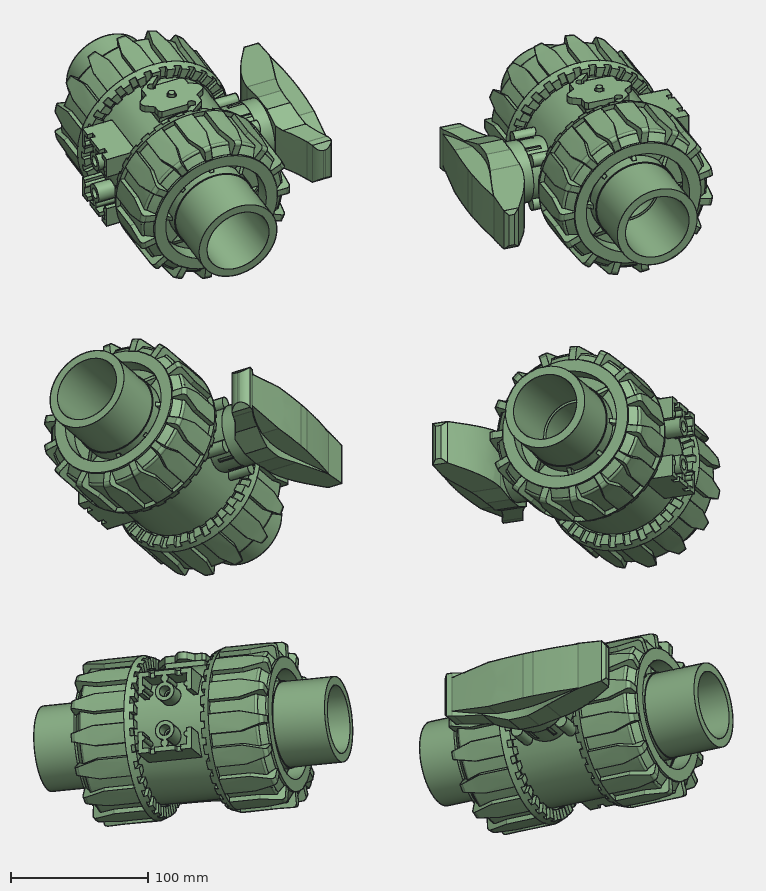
import cadquery as cq
import math


length = 224.5
pipe_dia = 63.0
pipe_bore = 50.0
collar_dia = 64.5
collar_end = 72.3
flange_dia = 90.0
gusset_count = 8
gusset_dia = 80.9
gusset_width = 3.1
gusset_length = 6.7

nut_dia = 121.5
nut_inner_end = 25.8
nut_outer_end = 75.0
nut_opening_dia = 81.3
nut_ring_dia = 99.3
barrel_radius = 57.0
barrel_round = 1.8
barrel_round_start = 67.2
barrel_ring_start = 73.2
band_end = 32.5
band_edge_radius = 58.5
grip_count = 15
grip_width = 14.8
grip_tip_width = 5.5
grip_taper_start = 56.4
grip_end = 74.3
grip_round = 3.0
grip_root_radius = 45.0
grip_embed = 1.1
tooth_count = 30
tooth_gap_width = 5.5
tooth_depth = 3.0

body_dia = 98.4
thread_dia = 101.3
body_bore = 46.5
body_end = 56.2
flange_end = 61.8
actuator_x = -0.5
core_depth = 33.7

seat_length = 30.5
seat_width = 34.1
seat_z = 50.0
plate_thickness = 5.5
plate_corner = 2.2
plate_hole_dia = 7.0
stud_dia = 5.0
stud_top = 57.7
lobe_base = 7.6
lobe_shoulder = (3.5, 23.1)
lobe_tip = 25.0
arm_tip = 25.2
arm_tip_outer_y = 4.3
arm_tip_inner_y = -1.1
relief_dia = 5.8
relief_y = 9.0

bracket_face_y = -62.2
bracket_width = 41.0
bracket_top = 30.8
bracket_arm_end = 14.5
bracket_wall = 3.5
boss_z = 14.8
boss_dia = 14.4
boss_hole_dia = 8.0
boss_hole_depth = 11.2
pilot_dia = 5.0
pilot_depth = 15.7
web_width = 3.1
web_bead_dia = 5.6
web_bead_z = 24.7
arm_bead_dia = 4.0
arm_bead_z = 19.0
notch_width = 4.3
notch_pitch = 20.2

neck_dia = 46.5
neck_end = 61.0
post_dia = 9.7
post_offset_x = 17.7
post_offset_z = 18.2
neck_groove_width = 3.1
neck_groove_depth = 1.8
neck_groove_x = 7.6

handle_base_y = 72.5
handle_crest_y = 108.0
handle_half_depth = 24.3
handle_neck_overlap = 2.2
crown_start = (-55.0, 105.3)
crown_end = (49.5, 102.9)
crown_half_depth = 17.7
crown_taper_start = 18.0
crown_tip_half_depth = 13.5


def x_cylinder(diameter, start, end):
    return cq.Workplane("YZ").workplane(offset=start).circle(diameter / 2).extrude(end - start)


def y_cylinder(diameter, start, end, x, z):
    """Cylinder along +Y from start to end."""
    plane = cq.Plane(origin=(x, start, z), xDir=(1, 0, 0), normal=(0, 1, 0))
    return cq.Workplane(plane).circle(diameter / 2).extrude(end - start)


def around_x(shape, count):
    """Equally spaced copies of a shape about the pipe axis, the first one moved onto +Y."""
    return [
        shape.rotate((0, 0, 0), (1, 0, 0), -90 + i * 360 / count)
        for i in range(count)
    ]


def mirror_pair(shape):
    """The +X member and its mirror image at -X."""
    return [shape, shape.mirror("YZ")]


def make_end_connector():
    connector = (
        x_cylinder(pipe_dia, body_end, length / 2)
        .union(x_cylinder(collar_dia, body_end, collar_end))
        .union(x_cylinder(flange_dia, body_end, flange_end))
    )
    gusset = (
        cq.Workplane("XZ")
        .workplane(offset=-gusset_width / 2)
        .moveTo(flange_end, pipe_dia / 2)
        .lineTo(flange_end, gusset_dia / 2)
        .lineTo(flange_end + gusset_length, collar_dia / 2)
        .lineTo(flange_end + gusset_length, pipe_dia / 2)
        .close()
        .extrude(gusset_width)
    )
    for copy in around_x(gusset, gusset_count):
        connector = connector.union(copy)
    return connector.cut(x_cylinder(pipe_bore, body_end, length / 2))


def make_nut_shell():
    """Revolved nut: tapered toothed band, barrel with a rounded shoulder, and end ring."""
    round_mid = barrel_round * math.sqrt(0.5)
    return (
        cq.Workplane("XY")
        .moveTo(nut_inner_end, thread_dia / 2)
        .lineTo(nut_inner_end, band_edge_radius)
        .lineTo(band_end, nut_dia / 2)
        .lineTo(band_end, barrel_radius)
        .lineTo(barrel_round_start, barrel_radius)
        .threePointArc(
            (barrel_round_start + round_mid, barrel_radius - barrel_round + round_mid),
            (barrel_round_start + barrel_round, barrel_radius - barrel_round),
        )
        .lineTo(barrel_ring_start, nut_ring_dia / 2)
        .lineTo(nut_outer_end, nut_ring_dia / 2)
        .lineTo(nut_outer_end, nut_opening_dia / 2)
        .lineTo(flange_end, nut_opening_dia / 2)
        .lineTo(flange_end, flange_dia / 2)
        .lineTo(body_end, flange_dia / 2)
        .lineTo(body_end, thread_dia / 2)
        .close()
        .revolve(360, (0, 0, 0), (1, 0, 0))
    )


def make_grip():
    """One grip rib at +Z: parallel sides, then tapering to a narrow rounded tip."""
    outline = (
        cq.Workplane("XY")
        .workplane(offset=grip_root_radius)
        .moveTo(band_end, -grip_width / 2)
        .lineTo(grip_taper_start, -grip_width / 2)
        .lineTo(grip_end, -grip_tip_width / 2)
        .lineTo(grip_end, grip_tip_width / 2)
        .lineTo(grip_taper_start, grip_width / 2)
        .lineTo(band_end, grip_width / 2)
        .close()
        .extrude(nut_dia / 2 - grip_root_radius)
    )
    envelope = x_cylinder(nut_dia, band_end, grip_end).faces(">X").edges().fillet(grip_round)
    core = x_cylinder(nut_ring_dia - 2 * grip_embed, flange_end, grip_end).union(
        x_cylinder(thread_dia + 2 * grip_embed, band_end, flange_end)
    )
    return outline.intersect(envelope).cut(core)


def make_nut():
    nut = make_nut_shell()
    for grip in around_x(make_grip(), grip_count):
        nut = nut.union(grip)
    tooth_gap = cq.Workplane("XY").box(
        tooth_depth, tooth_gap_width, nut_dia / 2, centered=(False, True, False)
    ).translate((nut_inner_end, 0, 0))
    for gap in around_x(tooth_gap, tooth_count):
        nut = nut.cut(gap)
    return nut


def make_bracket_half():
    """Upper half of the mounting bracket: a channel with a screw boss on a web."""
    depth = -core_depth - bracket_face_y

    def bar(width, bottom, top, x=0.0):
        return cq.Workplane("XY").box(width, depth, top - bottom, centered=(True, False, False)).translate(
            (x, bracket_face_y, bottom)
        )

    def rod(diameter, x, z):
        return y_cylinder(diameter, bracket_face_y, -core_depth, x, z)

    half = bar(bracket_width, bracket_top - bracket_wall, bracket_top)
    half = half.union(bar(web_width, boss_z, bracket_top))
    half = half.union(rod(web_bead_dia, 0, web_bead_z))
    half = half.union(rod(boss_dia, 0, boss_z))
    wall_x = (bracket_width - bracket_wall) / 2
    for side in (-1, 1):
        half = half.union(bar(bracket_wall, bracket_arm_end, bracket_top, side * wall_x))
        bead_x = side * (bracket_width / 2 - bracket_wall)
        half = half.union(rod(arm_bead_dia, bead_x, arm_bead_z))
        notch = cq.Workplane("XY").box(notch_width, 2 * notch_width, 3 * bracket_wall)
        half = half.cut(notch.translate((side * notch_pitch / 2, bracket_face_y, bracket_top)))
    return half


def cut_boss_holes(body, z):
    for diameter, depth in ((boss_hole_dia, boss_hole_depth), (pilot_dia, pilot_depth)):
        hole = y_cylinder(diameter, bracket_face_y, bracket_face_y + depth, actuator_x, z)
        body = body.cut(hole)
    return body


def make_neck():
    neck = y_cylinder(neck_dia, core_depth, neck_end, 0, 0)
    for x in (-neck_groove_x, neck_groove_x):
        for z in (-neck_dia / 2, neck_dia / 2):
            groove = cq.Workplane("XY").box(neck_groove_width, neck_end, 2 * neck_groove_depth)
            neck = neck.cut(groove.translate((x, body_dia / 2 + neck_end / 2, z)))
    for x in (-post_offset_x, post_offset_x):
        for z in (-post_offset_z, post_offset_z):
            neck = neck.union(y_cylinder(post_dia, core_depth, neck_end, x, z))
    return neck


def make_body():
    thread_start = nut_inner_end + tooth_depth
    body = x_cylinder(body_dia, -body_end, body_end)
    for thread in mirror_pair(x_cylinder(thread_dia, thread_start, body_end)):
        body = body.union(thread)
    seat = cq.Workplane("XY").rect(seat_length, seat_width).extrude(seat_z - core_depth)
    stud = cq.Workplane("XY").circle(stud_dia / 2).extrude(stud_top - core_depth)
    body = body.union(seat.union(stud).translate((actuator_x, 0, core_depth)))
    bracket = make_bracket_half().translate((actuator_x, 0, 0))
    body = body.union(bracket).union(bracket.mirror("XY"))
    for z in (-boss_z, boss_z):
        body = cut_boss_holes(body, z)
    body = body.union(make_neck().translate((actuator_x, 0, 0)))
    return body.cut(x_cylinder(body_bore, -body_end, body_end))


def make_plate():
    """Locking plate: two lobes and two springy arms, the same after half a turn."""
    edge_x = seat_length / 2
    edge_y = seat_width / 2
    shoulder_x, shoulder_y = lobe_shoulder
    outline = cq.Workplane("XY").moveTo(-edge_x, -relief_y)
    for turn in (1, -1):
        outline = (
            outline.lineTo(-turn * edge_x, turn * (edge_y - plate_corner))
            .lineTo(-turn * (edge_x - plate_corner), turn * edge_y)
            .lineTo(-turn * lobe_base, turn * edge_y)
            .lineTo(-turn * shoulder_x, turn * shoulder_y)
            .threePointArc((0, turn * lobe_tip), (turn * shoulder_x, turn * shoulder_y))
            .lineTo(turn * lobe_base, turn * edge_y)
            .lineTo(turn * edge_x, turn * edge_y)
            .lineTo(turn * arm_tip, turn * arm_tip_outer_y)
            .lineTo(turn * arm_tip, turn * arm_tip_inner_y)
            .lineTo(turn * edge_x, turn * relief_y)
        )
    plate = outline.close().extrude(plate_thickness)
    reliefs = (
        cq.Workplane("XY")
        .pushPoints([(edge_x, relief_y), (-edge_x, -relief_y)])
        .circle(relief_dia / 2)
        .extrude(plate_thickness)
    )
    stud_hole = cq.Workplane("XY").circle(plate_hole_dia / 2).extrude(plate_thickness)
    return plate.cut(reliefs).cut(stud_hole).translate((actuator_x, 0, seat_z))


def make_handle():
    """Lever handle: the overlap of its side and plan outlines, with a narrower crown, on a round neck."""
    side = (
        cq.Workplane("XY")
        .workplane(offset=-handle_half_depth)
        .moveTo(23.4, handle_base_y)
        .lineTo(-24.7, handle_base_y)
        .spline([(-43.3, 76.5), (-61.8, 85.8), (-74.1, 93.7)], includeCurrent=True)
        .lineTo(-76.4, 97.7)
        .lineTo(-76.4, 102.2)
        .lineTo(-74.1, 105.3)
        .lineTo(*crown_start)
        .spline([(-41.5, 107.0), (-11.2, handle_crest_y), (31.5, 105.1), crown_end], includeCurrent=True)
        .lineTo(53.5, 103.5)
        .threePointArc((57.5, 96.5), (53.5, 88.0))
        .lineTo(48.3, 86.2)
        .spline([(36.0, 80.6), (23.4, handle_base_y)], includeCurrent=True)
        .close()
        .extrude(2 * handle_half_depth)
    )
    upper_plan = [
        (-76.4, 12.8),
        (-74.1, 16.2),
        (-24.7, 21.3),
        (-6.7, handle_half_depth),
        (9.0, handle_half_depth),
        (28.5, 17.3),
        (48.3, 17.3),
        (53.5, 17.0),
        (57.5, 12.8),
    ]
    lower_plan = [(x, -z) for x, z in reversed(upper_plan)]
    plan = (
        cq.Workplane("XZ", origin=(0, handle_crest_y, 0))
        .polyline(upper_plan + lower_plan)
        .close()
        .extrude(handle_crest_y - handle_base_y)
    )
    crown_x, crown_end_x = crown_start[0], crown_end[0]
    above_shoulder = (
        cq.Workplane("XY")
        .workplane(offset=-handle_half_depth)
        .moveTo(crown_x, handle_crest_y)
        .lineTo(*crown_start)
        .spline([(-24.7, 96.0), (-6.7, 91.6), (9.0, 91.5), (28.5, 94.5), crown_end], includeCurrent=True)
        .lineTo(crown_end_x, handle_crest_y)
        .close()
        .extrude(2 * handle_half_depth)
    )
    crown = (
        cq.Workplane("XZ", origin=(0, handle_crest_y, 0))
        .moveTo(crown_x, -crown_half_depth)
        .lineTo(crown_taper_start, -crown_half_depth)
        .lineTo(crown_end_x, -crown_tip_half_depth)
        .lineTo(crown_end_x, crown_tip_half_depth)
        .lineTo(crown_taper_start, crown_half_depth)
        .lineTo(crown_x, crown_half_depth)
        .close()
        .extrude(handle_crest_y - handle_base_y)
    )
    lever = side.intersect(plan).cut(above_shoulder.cut(crown))
    return lever.union(y_cylinder(neck_dia, neck_end, handle_base_y + handle_neck_overlap, actuator_x, 0))


body = make_body()
nuts = mirror_pair(make_nut())
end_connectors = mirror_pair(make_end_connector())
plate = make_plate()
handle = make_handle()

result = cq.Compound.makeCompound(
    [
        body.val(),
        *[nut.val() for nut in nuts],
        *[connector.val() for connector in end_connectors],
        plate.val(),
        handle.val(),
    ]
)